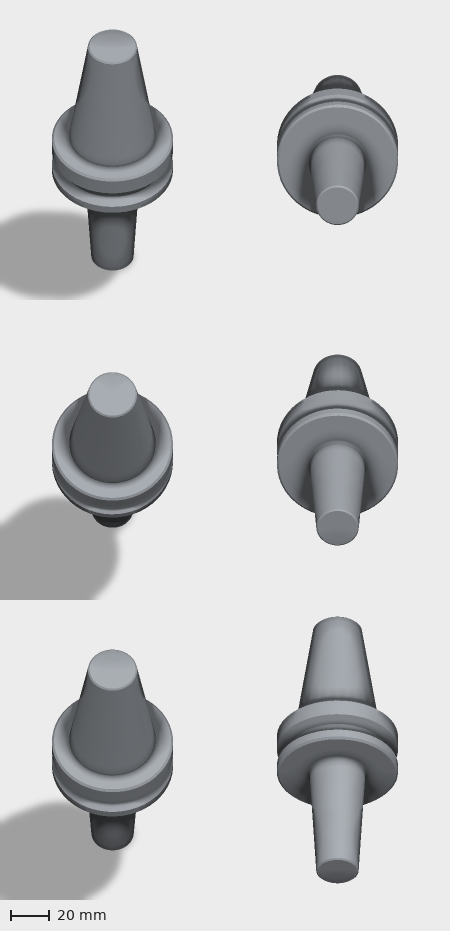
import cadquery as cq

total_length = 155.4
taper_length = 65.5
bottom_z = taper_length - total_length

gauge_radius = 22.4
taper_top_radius = 12.7
gauge_band_height = 1.0
relief_radius = 21.6
taper_chamfer = 0.8

flange_diameter = 63.0
flange_radius = flange_diameter / 2
flange_top_z = -1.9
flange_bottom_z = -27.0
flange_chamfer = 1.1
groove_radius = 26.5
groove_upper_edge_z = -11.7
groove_floor_top_z = -14.3
groove_floor_bottom_z = -19.1
groove_lower_edge_z = -21.6

nose_radius = 14.5
nose_end_radius = 11.0
nose_taper_start_z = -28.5
nose_end_chamfer = 0.8
nose_fillet = flange_bottom_z - nose_taper_start_z

profile = (
    cq.Workplane("XZ")
    .moveTo(0, taper_length)
    .lineTo(taper_top_radius - taper_chamfer, taper_length)
    .lineTo(taper_top_radius, taper_length - taper_chamfer)
    .lineTo(gauge_radius, 0)
    .lineTo(gauge_radius, -gauge_band_height)
    .lineTo(relief_radius, -gauge_band_height)
    .lineTo(relief_radius, flange_top_z)
    .lineTo(flange_radius - flange_chamfer, flange_top_z)
    .lineTo(flange_radius, flange_top_z - flange_chamfer)
    .lineTo(flange_radius, groove_upper_edge_z)
    .lineTo(groove_radius, groove_floor_top_z)
    .lineTo(groove_radius, groove_floor_bottom_z)
    .lineTo(flange_radius, groove_lower_edge_z)
    .lineTo(flange_radius, flange_bottom_z + flange_chamfer)
    .lineTo(flange_radius - flange_chamfer, flange_bottom_z)
    .lineTo(nose_radius + nose_fillet, flange_bottom_z)
    .radiusArc((nose_radius, nose_taper_start_z), -nose_fillet)
    .lineTo(nose_end_radius, bottom_z + nose_end_chamfer)
    .lineTo(nose_end_radius - nose_end_chamfer, bottom_z)
    .lineTo(0, bottom_z)
    .close()
)

result = profile.revolve(360, (0, 0, 0), (0, 1, 0))